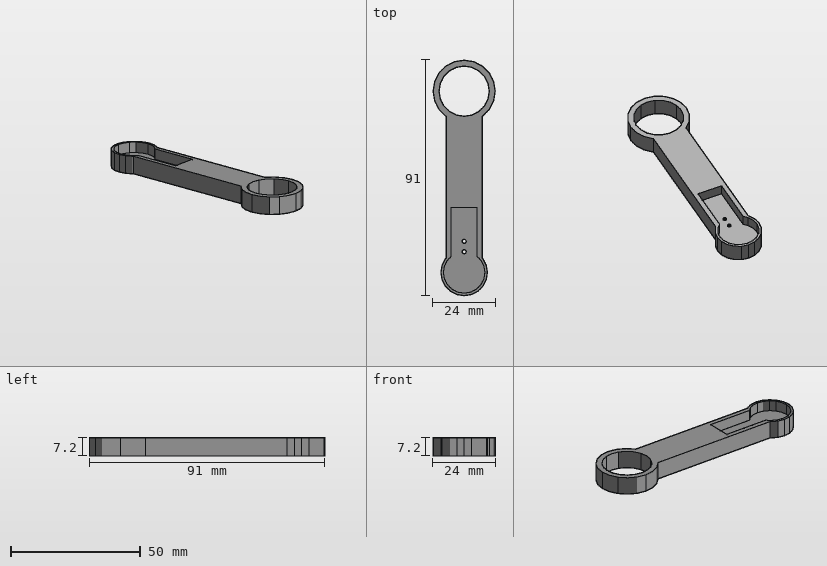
import cadquery as cq

FACETS = 20
OVERALL_LENGTH = 91
THICKNESS = 7.2
ARM_WIDTH = 14.0
RING_RADIUS = 12.0
CUP_RADIUS = 9.0
CENTER_DISTANCE = OVERALL_LENGTH - RING_RADIUS - CUP_RADIUS

RING_BORE_RADIUS = 9.65

POCKET_DEPTH = 4.3
POCKET_ROUND_RADIUS = 8.0
POCKET_SLOT_WIDTH = 10.1
POCKET_SLOT_LENGTH = 25.1

PIN_HOLE_RADIUS = 0.7
PIN_HOLE_OFFSETS = (8.0, 12.0)

CUP_Y = 0
RING_Y = CUP_Y + CENTER_DISTANCE


def faceted_disc(radius, center_y, base_z, height):
    """Upright prism with FACETS flats whose corners lie on the given radius."""
    return (
        cq.Workplane("XY", origin=(0, center_y, base_z))
        .polygon(FACETS, 2 * radius)
        .extrude(height)
    )


def lengthwise_bar(width, length, base_z, height):
    """Box centered on X that runs from the cup center toward the ring."""
    return (
        cq.Workplane("XY", origin=(0, CUP_Y, base_z))
        .rect(width, length)
        .extrude(height)
        .translate((0, length / 2, 0))
    )


def link_body():
    arm = lengthwise_bar(ARM_WIDTH, CENTER_DISTANCE, 0, THICKNESS)
    cup = faceted_disc(CUP_RADIUS, CUP_Y, 0, THICKNESS)
    ring = faceted_disc(RING_RADIUS, RING_Y, 0, THICKNESS)
    return arm.union(cup).union(ring)


def keyhole_pocket():
    floor_z = THICKNESS - POCKET_DEPTH
    round_end = faceted_disc(POCKET_ROUND_RADIUS, CUP_Y, floor_z, POCKET_DEPTH)
    slot = lengthwise_bar(POCKET_SLOT_WIDTH, POCKET_SLOT_LENGTH, floor_z, POCKET_DEPTH)
    return round_end.union(slot)


result = link_body()
result = result.cut(faceted_disc(RING_BORE_RADIUS, RING_Y, 0, THICKNESS))
result = result.cut(keyhole_pocket())
for offset in PIN_HOLE_OFFSETS:
    result = result.cut(faceted_disc(PIN_HOLE_RADIUS, CUP_Y + offset, 0, THICKNESS))